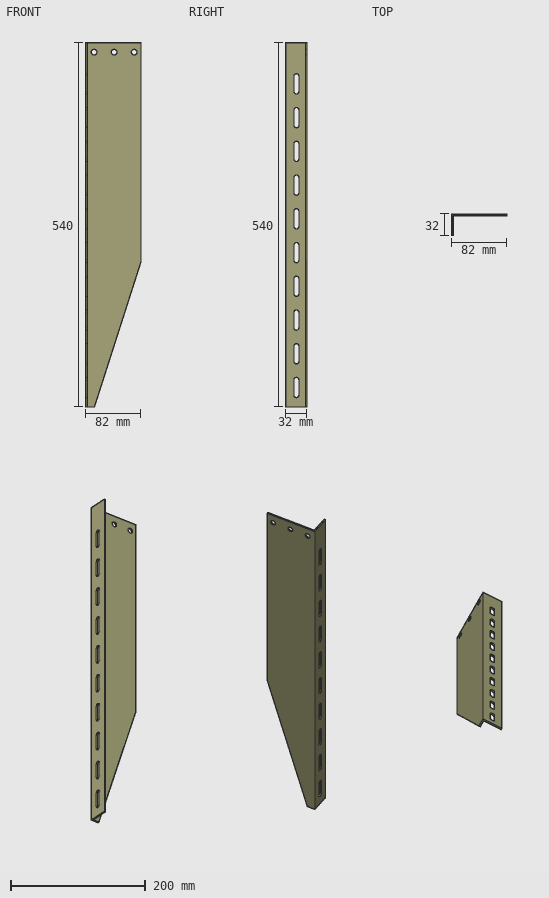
import cadquery as cq

width = 82.0
depth = 32.0
height = 540.0
thickness = 2.5

foot_width = 13.0
taper_height = 215.5

hole_diameter = 8.0
hole_count = 3
hole_pitch = 29.5
last_hole_edge_distance = 10.0
hole_top_distance = 14.0

slot_count = 10
slot_length = 29.5
slot_width = 7.0
bottom_slot_height = 29.0
top_slot_height = 479.0
slot_pitch = (top_slot_height - bottom_slot_height) / (slot_count - 1)


def make_wide_plate():
    """Tapered plate in the XZ plane, with its back face at Y = depth."""
    outline = [
        (0, 0),
        (foot_width, 0),
        (width, taper_height),
        (width, height),
        (0, height),
    ]
    return cq.Workplane("XZ", origin=(0, depth, 0)).polyline(outline).close().extrude(thickness)


def make_flange():
    """Narrow full-height flange along the left edge."""
    return cq.Workplane("XY").box(thickness, depth, height, centered=False)


def make_hole_cutters():
    """Pins through the wide plate, spaced inwards from its right edge."""
    last_hole_x = width - last_hole_edge_distance
    centers = [(last_hole_x - i * hole_pitch, height - hole_top_distance) for i in range(hole_count)]
    plane = cq.Workplane("XZ", origin=(0, depth, 0))
    return plane.pushPoints(centers).circle(hole_diameter / 2).extrude(thickness)


def make_slot_cutters():
    """Vertical round-ended slots along the middle of the flange."""
    centers = [(depth / 2, bottom_slot_height + i * slot_pitch) for i in range(slot_count)]
    return cq.Workplane("YZ").pushPoints(centers).slot2D(slot_length, slot_width, 90).extrude(thickness)


bracket = make_wide_plate().union(make_flange())
result = bracket.cut(make_hole_cutters()).cut(make_slot_cutters())